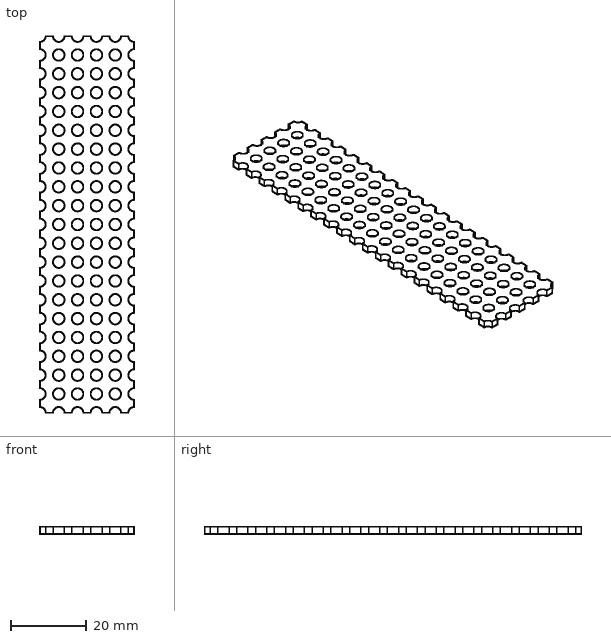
import cadquery as cq

width = 25.0
length = 100.0
thickness = 2.0

pitch = 5.0
hole_diameter = 3.0
columns = round(width / pitch) + 1
rows = round(length / pitch) + 1

plate = cq.Workplane("XY").box(width, length, thickness)

hole_cutters = (
    cq.Workplane("XY")
    .workplane(offset=-thickness / 2)
    .rarray(pitch, pitch, columns, rows)
    .circle(hole_diameter / 2)
    .extrude(thickness)
)

result = plate.cut(hole_cutters)